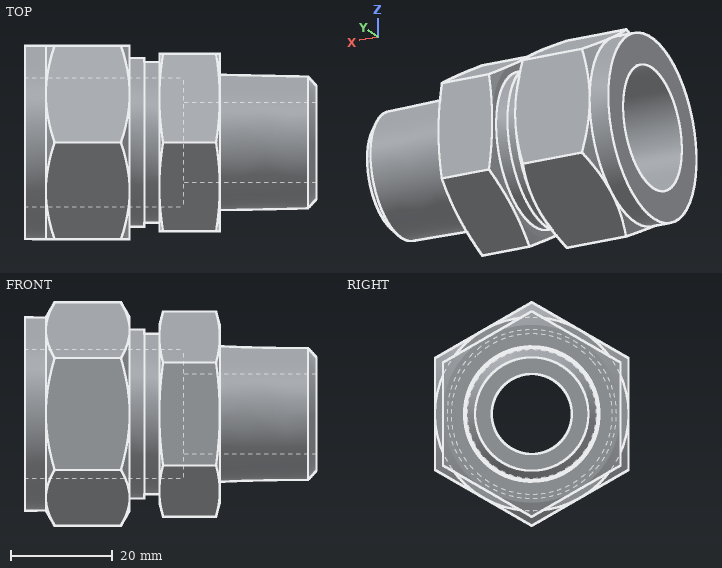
import cadquery as cq
import math

length = 57.4

collar_length = 4.15
collar_diameter = 38.1
nut_flats = collar_diameter
nut_hex_length = 16.5
nut_chamfer_angle = 30.0

neck_length = 2.9
neck_diameter = 33.3
groove_length = 2.9
groove_diameter = 31.7

body_flats = 35.0
body_hex_length = 11.9
body_chamfer_angle = 15.0

shank_length = 0.7
shank_diameter = 26.7
taper_tip_diameter = 26.0
tip_chamfer_length = 1.7
tip_chamfer_depth = 1.85

socket_diameter = 25.35
socket_depth = 31.2
bore_diameter = 15.7

nut_hex_start = collar_length
neck_start = nut_hex_start + nut_hex_length
groove_start = neck_start + neck_length
body_hex_start = groove_start + groove_length
shank_start = body_hex_start + body_hex_length
taper_start = shank_start + shank_length
tip_chamfer_start = length - tip_chamfer_length


def cylinder(start, cylinder_length, diameter):
    """Cylinder on the X axis, running towards +X from x = start."""
    return cq.Workplane("YZ", origin=(start, 0, 0)).circle(diameter / 2).extrude(cylinder_length)


def revolve_profile(points):
    """Closed (x, radius) outline turned about the X axis."""
    return cq.Workplane("XY").polyline(points).close().revolve(360, (0, 0, 0), (1, 0, 0))


def chamfered_hex(start, hex_length, flats, chamfer_angle):
    """Hexagon with corners at +Z and -Z, cut by a cone at each end that meets the flats at the end face."""
    corner_diameter = flats / math.cos(math.radians(30))
    flat_radius = flats / 2
    corner_radius = corner_diameter / 2
    chamfer_length = (corner_radius - flat_radius) * math.tan(math.radians(chamfer_angle))
    end = start + hex_length
    prism = (
        cq.Workplane("YZ", origin=(start, 0, 0))
        .transformed(rotate=(0, 0, 90))
        .polygon(6, corner_diameter)
        .extrude(hex_length)
    )
    envelope = revolve_profile([
        (start, 0),
        (start, flat_radius),
        (start + chamfer_length, corner_radius),
        (end - chamfer_length, corner_radius),
        (end, flat_radius),
        (end, 0),
    ])
    return prism.intersect(envelope)


def male_end():
    """Short straight shank, long slight taper and chamfered tip."""
    return revolve_profile([
        (shank_start, 0),
        (shank_start, shank_diameter / 2),
        (taper_start, shank_diameter / 2),
        (tip_chamfer_start, taper_tip_diameter / 2),
        (length, taper_tip_diameter / 2 - tip_chamfer_depth),
        (length, 0),
    ])


outside = (
    cylinder(0, collar_length, collar_diameter)
    .union(chamfered_hex(nut_hex_start, nut_hex_length, nut_flats, nut_chamfer_angle))
    .union(cylinder(neck_start, neck_length, neck_diameter))
    .union(cylinder(groove_start, groove_length, groove_diameter))
    .union(chamfered_hex(body_hex_start, body_hex_length, body_flats, body_chamfer_angle))
    .union(male_end())
)

result = (
    outside
    .cut(cylinder(0, socket_depth, socket_diameter))
    .cut(cylinder(0, length, bore_diameter))
)